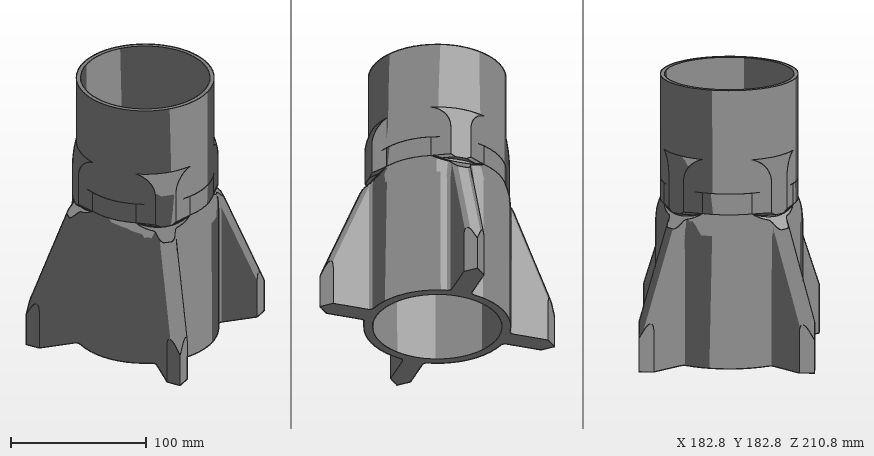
import cadquery as cq
import math

TOTAL_HEIGHT = 210.8
BORE_RADIUS = 95.3 / 2
TUBE_RADIUS = 101.6 / 2
OUTER_RADIUS = 54.2
JOINT_Z = 132.2
QUARTER_TURNS = (0, 90, 180, 270)

SHOULDER_Z = 100.5
NECK_Z = 116.4
FIN_TIP_RADIUS = 182.8 / 2
FIN_HALF_THICKNESS = 7.8
FIN_TIP_Z = 25.5
FIN_RELIEF_RADIUS = 59.2
FIN_EDGE_FILLET = 5.3
FIN_ROOT_FILLET = 3.5
MIN_ROOT_LENGTH = 2.1

LUG_ROOT_HALF_WIDTH = 20.7
LUG_FACE_HALF_WIDTH = 7.8
LUG_TOP_Z = 157.5
LUG_CROWN_Z = 139.8
LUG_BOTTOM_Z = 114.3
LUG_UNDERCUT = 1.37

RELIEF_RADIUS = math.sqrt(TUBE_RADIUS**2 - LUG_ROOT_HALF_WIDTH**2)
FIN_RELIEF_Z = NECK_Z - (FIN_RELIEF_RADIUS - RELIEF_RADIUS)


def cylinder(radius, bottom, top):
    return cq.Workplane("XY").workplane(offset=bottom).circle(radius).extrude(top - bottom)


def quarter_copies(body):
    """The body repeated on the four axes."""
    return [body.rotate((0, 0, 0), (0, 0, 1), angle) for angle in QUARTER_TURNS]


def crown_radius(height):
    """Arc that leaves the outer wall upright and reaches the tube wall over the given height."""
    depth = OUTER_RADIUS - TUBE_RADIUS
    return (height**2 + depth**2) / (2 * depth)


def make_sleeve():
    """Solid round core: straight wall with a shoulder that curves in to the neck."""
    return (
        cq.Workplane("XZ")
        .lineTo(OUTER_RADIUS, 0)
        .lineTo(OUTER_RADIUS, SHOULDER_Z)
        .radiusArc((TUBE_RADIUS, NECK_Z), -crown_radius(NECK_Z - SHOULDER_Z))
        .lineTo(0, NECK_Z)
        .close()
        .revolve(360, (0, 0), (0, 1))
    )


def make_fin_blank():
    """Full-height fin along +X with a pointed outer edge."""
    point_start = FIN_TIP_RADIUS - FIN_HALF_THICKNESS
    return (
        cq.Workplane("XY")
        .moveTo(0, -FIN_HALF_THICKNESS)
        .lineTo(point_start, -FIN_HALF_THICKNESS)
        .lineTo(FIN_TIP_RADIUS, 0)
        .lineTo(point_start, FIN_HALF_THICKNESS)
        .lineTo(0, FIN_HALF_THICKNESS)
        .close()
        .extrude(NECK_Z)
    )


def is_fin_root(edge):
    """True for the upright corners between a fin and the sleeve or its shoulder."""
    box = edge.BoundingBox()
    radius = math.hypot(box.center.x, box.center.y)
    return TUBE_RADIUS < radius < OUTER_RADIUS + 0.2 and box.zlen > MIN_ROOT_LENGTH


def make_slope_waste():
    """Material to remove above the sloping top of a fin along +X, leaving its edges rounded."""
    run = FIN_TIP_RADIUS - FIN_RELIEF_RADIUS
    rise = FIN_RELIEF_Z - FIN_TIP_Z
    length = math.hypot(run, rise)
    flat_half_width = FIN_HALF_THICKNESS - FIN_EDGE_FILLET
    section_plane = cq.Plane(
        origin=(FIN_TIP_RADIUS, 0, FIN_TIP_Z),
        xDir=(0, -1, 0),
        normal=(-run, 0, rise),
    )
    return (
        cq.Workplane(section_plane)
        .workplane(offset=-length)
        .moveTo(-flat_half_width, 0)
        .lineTo(flat_half_width, 0)
        .radiusArc((FIN_HALF_THICKNESS, -FIN_EDGE_FILLET), FIN_EDGE_FILLET)
        .lineTo(FIN_HALF_THICKNESS, length)
        .lineTo(-FIN_HALF_THICKNESS, length)
        .lineTo(-FIN_HALF_THICKNESS, -FIN_EDGE_FILLET)
        .radiusArc((-flat_half_width, 0), FIN_EDGE_FILLET)
        .close()
        .extrude(3 * length)
    )


def make_relief():
    """Space above a 45 degree plane across a fin root along +X."""
    return (
        cq.Workplane("XZ")
        .moveTo(RELIEF_RADIUS, NECK_Z)
        .lineTo(FIN_TIP_RADIUS, NECK_Z - (FIN_TIP_RADIUS - RELIEF_RADIUS))
        .lineTo(FIN_TIP_RADIUS, NECK_Z)
        .close()
        .extrude(LUG_ROOT_HALF_WIDTH, both=True)
    )


def make_fin_base():
    """Lower body: sleeve with four fins, and a plain neck that the lugs reach over."""
    base = make_sleeve()
    for fin in quarter_copies(make_fin_blank().cut(make_slope_waste())):
        base = base.union(fin)
    roots = [edge for edge in base.edges().vals() if is_fin_root(edge)]
    base = base.newObject(roots).fillet(FIN_ROOT_FILLET)
    for relief in quarter_copies(make_relief()):
        base = base.cut(relief)
    base = base.union(cylinder(TUBE_RADIUS, 0, JOINT_Z))
    return base.cut(cylinder(BORE_RADIUS, 0, JOINT_Z)).solids()


def wedge_wire(inset, z):
    """Triangle pointing to +X between the two slanting lug sides, each moved inward by the inset."""
    face_radius = math.sqrt(OUTER_RADIUS**2 - LUG_FACE_HALF_WIDTH**2)
    side_angle = math.atan2(LUG_ROOT_HALF_WIDTH - LUG_FACE_HALF_WIDTH, face_radius - RELIEF_RADIUS)
    half_width = LUG_ROOT_HALF_WIDTH - inset / math.cos(side_angle)
    apex_radius = RELIEF_RADIUS + half_width / math.tan(side_angle)
    corners = [
        cq.Vector(RELIEF_RADIUS, -half_width, z),
        cq.Vector(apex_radius, 0, z),
        cq.Vector(RELIEF_RADIUS, half_width, z),
    ]
    return cq.Wire.makePolygon(corners, close=True)


def wedge_between(lower_wire, upper_wire):
    return cq.Workplane(cq.Solid.makeLoft([lower_wire, upper_wire], True))


def make_lug_ring():
    """Full ring with the wall profile of the lugs, its outer face curving in to the tube."""
    return (
        cq.Workplane("XZ")
        .moveTo(TUBE_RADIUS, LUG_BOTTOM_Z)
        .lineTo(OUTER_RADIUS, LUG_BOTTOM_Z)
        .lineTo(OUTER_RADIUS, LUG_CROWN_Z)
        .radiusArc((TUBE_RADIUS, LUG_TOP_Z), -crown_radius(LUG_TOP_Z - LUG_CROWN_Z))
        .close()
        .revolve(360, (0, 0), (0, 1))
    )


def make_tube():
    """Upper body: tube with four lugs that hang down around the neck."""
    main_wedge = wedge_between(wedge_wire(0, NECK_Z), wedge_wire(0, LUG_TOP_Z))
    undercut_wedge = wedge_between(wedge_wire(LUG_UNDERCUT, LUG_BOTTOM_Z), wedge_wire(0, NECK_Z))
    lug = main_wedge.union(undercut_wedge).intersect(make_lug_ring())
    tube = cylinder(TUBE_RADIUS, JOINT_Z, TOTAL_HEIGHT)
    for copy in quarter_copies(lug):
        tube = tube.union(copy)
    return tube.cut(cylinder(BORE_RADIUS, JOINT_Z, TOTAL_HEIGHT)).solids()


fin_base = make_fin_base()
tube = make_tube()

result = cq.Compound.makeCompound([fin_base.val(), tube.val()])